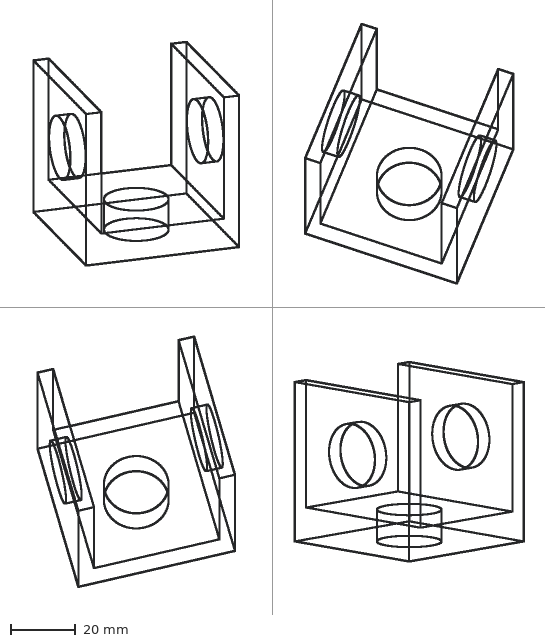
import cadquery as cq

side = 50.0
wall_thickness = 5.0
base_thickness = 10.0
hole_diameter = 20.0
wall_hole_height = 30.0

channel_width = side - 2 * wall_thickness
channel_depth = side - base_thickness

block = cq.Workplane("XY").box(side, side, side, centered=(True, True, False))

channel = (
    cq.Workplane("XY")
    .workplane(offset=base_thickness)
    .box(side, channel_width, channel_depth, centered=(True, True, False))
)

wall_holes = (
    cq.Workplane("XZ")
    .center(0, wall_hole_height)
    .circle(hole_diameter / 2)
    .extrude(side / 2, both=True)
)

base_hole = cq.Workplane("XY").circle(hole_diameter / 2).extrude(base_thickness)

result = block.cut(channel).cut(wall_holes).cut(base_hole)